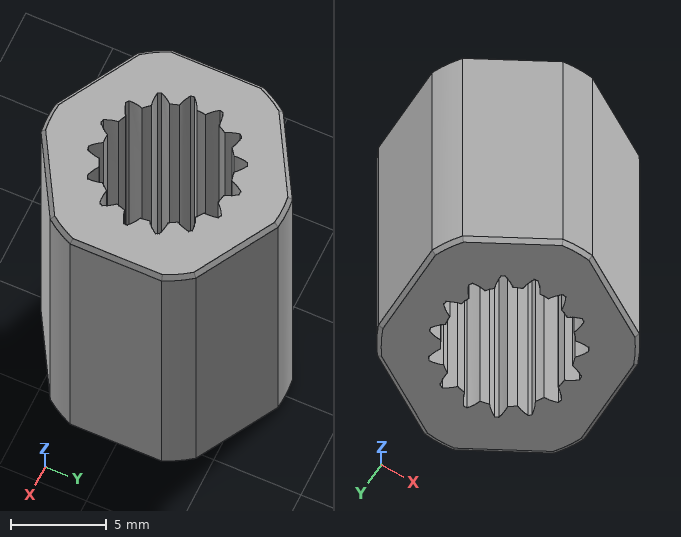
import cadquery as cq
import math

LENGTH = 20.0
SIDE_COUNT = 6
ACROSS_FLATS = 12.68
CORNER_DIAMETER = 13.72
EDGE_CHAMFER = 0.25

BORE_DIAMETER = 7.05
GROOVE_DIAMETER = 8.4
TOOTH_COUNT = 15
SPLINE_MODULE = 0.5
PRESSURE_ANGLE = math.radians(30)
FLANK_STEPS = 4

BORE_RADIUS = BORE_DIAMETER / 2
PITCH_RADIUS = SPLINE_MODULE * TOOTH_COUNT / 2
GROOVE_RADIUS = GROOVE_DIAMETER / 2
BASE_RADIUS = PITCH_RADIUS * math.cos(PRESSURE_ANGLE)
FLANK_START_RADIUS = (BASE_RADIUS + BORE_RADIUS) / 2


def involute(angle):
    return math.tan(angle) - angle


def groove_half_angle(radius):
    """Half the angle that one tooth groove spans at a radius on or outside the base circle."""
    half_angle_at_pitch = math.pi / (2 * TOOTH_COUNT)
    flank_angle = math.acos(BASE_RADIUS / radius)
    return half_angle_at_pitch + involute(PRESSURE_ANGLE) - involute(flank_angle)


def polar(radius, angle_from_y):
    """Point at a radius and at an angle measured from +Y towards +X."""
    return radius * math.sin(angle_from_y), radius * math.cos(angle_from_y)


def make_body():
    """Chamfered hexagonal prism with two of its flats facing along X."""
    hexagon_diameter = ACROSS_FLATS / math.cos(math.pi / SIDE_COUNT)
    hexagon = (
        cq.Workplane("XY")
        .polygon(SIDE_COUNT, hexagon_diameter)
        .extrude(LENGTH)
        .rotate((0, 0, 0), (0, 0, 1), 180 / SIDE_COUNT)
    )
    cylinder = cq.Workplane("XY").circle(CORNER_DIAMETER / 2).extrude(LENGTH)
    return hexagon.intersect(cylinder).faces("<Z or >Z").edges().chamfer(EDGE_CHAMFER)


def make_tooth_groove():
    """Groove for one spline tooth, pointing along +Y, with its open end inside the bore."""
    radius_step = (GROOVE_RADIUS - FLANK_START_RADIUS) / FLANK_STEPS
    flank_radii = [FLANK_START_RADIUS + i * radius_step for i in range(FLANK_STEPS + 1)]
    right_flank = [polar(r, groove_half_angle(r)) for r in flank_radii]
    left_flank = [(-x, y) for x, y in reversed(right_flank)]
    return (
        cq.Workplane("XY")
        .spline(right_flank)
        .threePointArc((0, GROOVE_RADIUS), left_flank[0])
        .spline(left_flank[1:], includeCurrent=True)
        .close()
        .extrude(LENGTH)
    )


def make_toothed_bore():
    """Round bore with a ring of tooth grooves, one of them at +Y."""
    bore = cq.Workplane("XY").circle(BORE_RADIUS).extrude(LENGTH)
    groove = make_tooth_groove()
    for i in range(TOOTH_COUNT):
        bore = bore.union(groove.rotate((0, 0, 0), (0, 0, 1), i * 360 / TOOTH_COUNT))
    return bore


result = make_body().cut(make_toothed_bore())